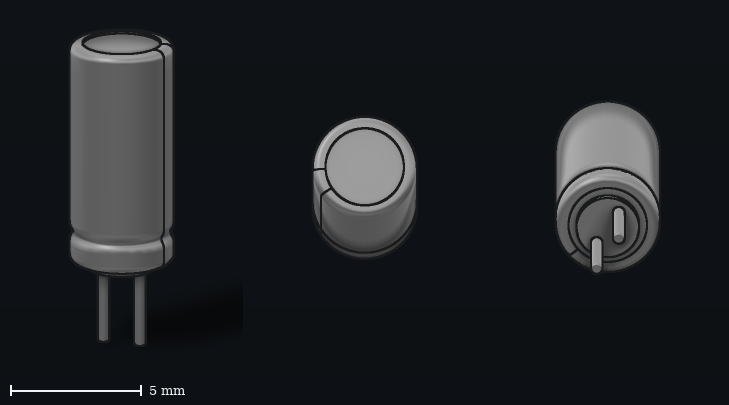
import cadquery as cq
import math

CAN_RADIUS = 4.0 / 2
CAN_BOTTOM = 0.3
CAN_TOP = 9.0
RIM_FILLET = 0.3

GROOVE_Z = 1.5
GROOVE_HALF_HEIGHT = 0.4
SHOULDER_RADIUS = 0.48
SHOULDER_END_RADIUS = 3.8 / 2

CORE_RADIUS = 1.5
TOP_RECESS = 0.1
STRIPE_ANGLE = 30.0

BASE_RADIUS = 2.4 / 2

PIN_DIAMETER = 0.45
PIN_LENGTH = 3.0
PIN_SPACING = 1.49
PIN_TIP_FILLET = 0.1

shoulder_slope = math.acos(1 - (CAN_RADIUS - SHOULDER_END_RADIUS) / SHOULDER_RADIUS)
shoulder_height = SHOULDER_RADIUS * math.sin(shoulder_slope)
hollow_half_height = GROOVE_HALF_HEIGHT - shoulder_height
hollow_radius = hollow_half_height / math.sin(shoulder_slope)
groove_bottom_radius = SHOULDER_END_RADIUS - hollow_radius * (1 - math.cos(shoulder_slope))


def shell_section(angle):
    """Wall around the core, with its rounded rims and groove, revolved from +X by angle."""
    half_slope = shoulder_slope / 2
    shoulder_mid_radius = CAN_RADIUS - SHOULDER_RADIUS * (1 - math.cos(half_slope))
    shoulder_mid_offset = GROOVE_HALF_HEIGHT - SHOULDER_RADIUS * math.sin(half_slope)
    rim_radius = CAN_RADIUS - RIM_FILLET
    rim_mid_radius = rim_radius + RIM_FILLET * math.sqrt(0.5)
    rim_mid_inset = RIM_FILLET * (1 - math.sqrt(0.5))
    return (
        cq.Workplane("XZ")
        .moveTo(CORE_RADIUS, CAN_BOTTOM)
        .lineTo(rim_radius, CAN_BOTTOM)
        .threePointArc((rim_mid_radius, CAN_BOTTOM + rim_mid_inset), (CAN_RADIUS, CAN_BOTTOM + RIM_FILLET))
        .lineTo(CAN_RADIUS, GROOVE_Z - GROOVE_HALF_HEIGHT)
        .threePointArc(
            (shoulder_mid_radius, GROOVE_Z - shoulder_mid_offset),
            (SHOULDER_END_RADIUS, GROOVE_Z - hollow_half_height),
        )
        .threePointArc((groove_bottom_radius, GROOVE_Z), (SHOULDER_END_RADIUS, GROOVE_Z + hollow_half_height))
        .threePointArc(
            (shoulder_mid_radius, GROOVE_Z + shoulder_mid_offset),
            (CAN_RADIUS, GROOVE_Z + GROOVE_HALF_HEIGHT),
        )
        .lineTo(CAN_RADIUS, CAN_TOP - RIM_FILLET)
        .threePointArc((rim_mid_radius, CAN_TOP - rim_mid_inset), (rim_radius, CAN_TOP))
        .lineTo(CORE_RADIUS, CAN_TOP)
        .close()
        .revolve(angle, (0, 0, 0), (0, 1, 0))
    )


def make_stripe():
    """Polarity stripe: the part of the wall centred on +X."""
    return shell_section(STRIPE_ANGLE).rotate((0, 0, 0), (0, 0, 1), -STRIPE_ANGLE / 2)


def make_sleeve():
    """The rest of the wall, from one side of the stripe round to the other."""
    return shell_section(360 - STRIPE_ANGLE).rotate((0, 0, 0), (0, 0, 1), STRIPE_ANGLE / 2)


def make_core():
    """Cylinder filling the wall, set slightly below the top rim."""
    core_height = CAN_TOP - TOP_RECESS - CAN_BOTTOM
    return cq.Workplane("XY").workplane(offset=CAN_BOTTOM).circle(CORE_RADIUS).extrude(core_height)


def make_base():
    """Plug under the can."""
    return cq.Workplane("XY").circle(BASE_RADIUS).extrude(CAN_BOTTOM)


def make_pin(x):
    """Lead hanging from the base, with a rounded tip."""
    return (
        cq.Workplane("XY")
        .center(x, 0)
        .circle(PIN_DIAMETER / 2)
        .extrude(-PIN_LENGTH)
        .faces("<Z")
        .edges()
        .fillet(PIN_TIP_FILLET)
    )


sleeve = make_sleeve()
stripe = make_stripe()
core = make_core()
base = make_base()
pins = [make_pin(side * PIN_SPACING / 2) for side in (-1, 1)]

result = cq.Compound.makeCompound(
    [sleeve.val(), stripe.val(), core.val(), base.val(), *[pin.val() for pin in pins]]
)